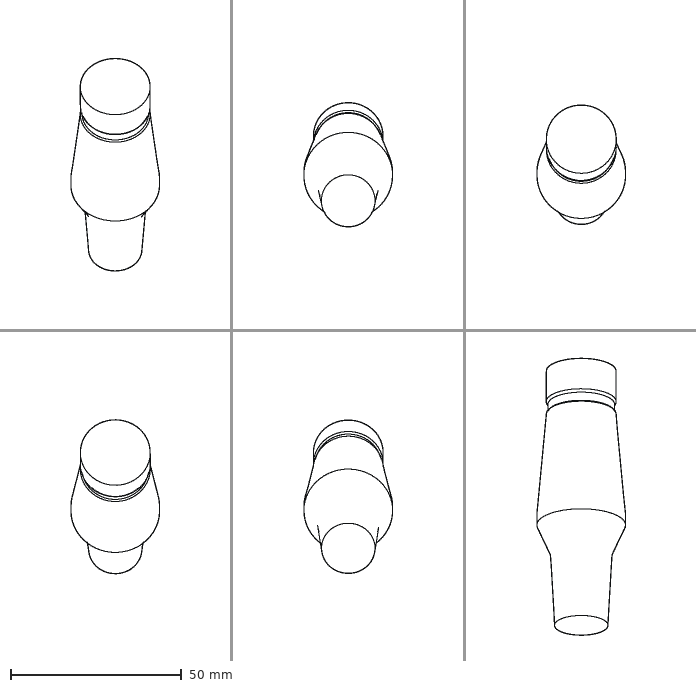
import cadquery as cq

total_height = 80.0
head_bottom = total_height - 9.6
groove_top = total_height - 10.5
groove_bottom = total_height - 13.0
body_top = total_height - 13.5
band_top = 35.1
band_bottom = 31.5
shoulder_bottom = 23.0
shank_top = 22.2

band_diameter = 26.0
head_radius = 10.2
groove_radius = 9.8
body_top_radius = 10.2
band_radius = band_diameter / 2
shoulder_bottom_radius = 9.3
shank_top_radius = 9.0
shank_bottom_radius = 7.8

profile = (
    cq.Workplane("XZ")
    .lineTo(shank_bottom_radius, 0)
    .lineTo(shank_top_radius, shank_top)
    .lineTo(shoulder_bottom_radius, shoulder_bottom)
    .lineTo(band_radius, band_bottom)
    .lineTo(band_radius, band_top)
    .lineTo(body_top_radius, body_top)
    .lineTo(groove_radius, groove_bottom)
    .lineTo(groove_radius, groove_top)
    .lineTo(head_radius, head_bottom)
    .lineTo(head_radius, total_height)
    .lineTo(0, total_height)
    .close()
)

result = profile.revolve(360, (0, 0, 0), (0, 1, 0))